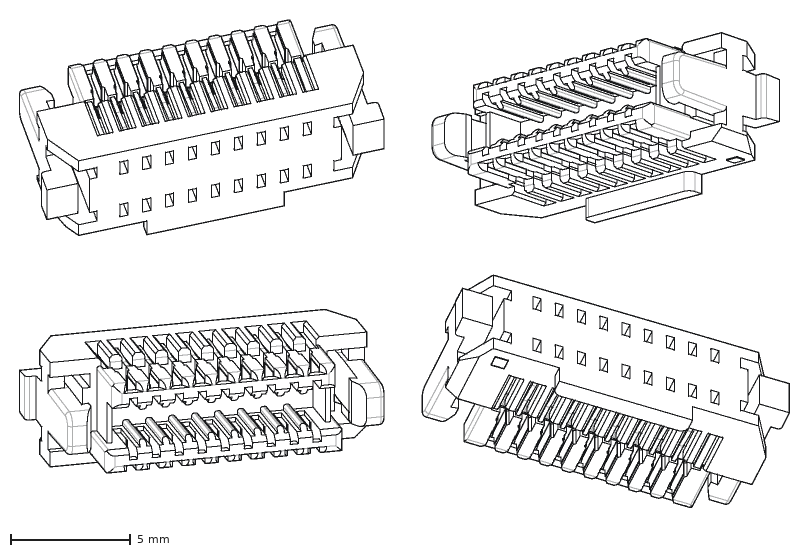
import cadquery as cq


BODY_DEPTH = 3.16
BODY_HALF_LENGTH = 6.9
BODY_HEIGHT = 4.66
MID_Z = BODY_HEIGHT / 2
REAR_CORNER_X = 1.55
REAR_CORNER_Y = 0.93
KEY_CHAMFER_Y = 0.55
KEY_CHAMFER_Z = 0.5

TIP_X = -5.78
WALL_OUTER = 1.97
WALL_INNER = 0.91
UPPER_HALF_LENGTH = 4.87
LOWER_HALF_LENGTH = 5.16
TIP_ROUND = 0.35
SIDE_ROUND = 0.13
LEAD_IN = 0.22
SIDE_WALL_TIP_X = -4.75
CAVITY_HALF_LENGTH = 4.65
CAVITY_FLOOR_X = -2.84

PITCH = 1.0
CONTACT_COUNT = 9
RIB_COUNT = CONTACT_COUNT - 1
FINGER_COUNT = CONTACT_COUNT + 1
SLOT_WIDTH = 0.35
BAR_REAR_X = TIP_X + TIP_ROUND
BAR_INNER = 1.37
BAR_OUTER = WALL_OUTER - TIP_ROUND
GROOVE_FLOOR = 1.77
GROOVE_WIDTH = 0.41
GROOVE_TIP_WIDTH = 0.82
NECK_START_X = -4.09
NECK_END_X = -4.0
NECK_GROOVE_WIDTH = 0.6

POCKET_FRONT_X = -3.52
POCKET_REAR_X = -1.16
POCKET_HALF_LENGTH = 4.69
POCKET_CHAMFER = 0.13
POCKET_FLOOR = 1.1
FLOOR_DROP_X = -2.62
FLOOR_LOW_X = -1.65
FLOOR_DROP = 0.16
RIDGE_WIDTH = 0.19
RIDGE_TOP = 1.84
RIDGE_RISE = 0.1
COVER_FRONT_X = -3.03
COVER_BASE = 1.7
COVER_WIDTH = 0.53
COVER_LEAN = 0.06
COVER_LEAN_Z = 0.3

RIB_WIDTH = 0.3
RIB_HEIGHT = 0.25
RIB_ROUND = 0.12

WINDOW_HALF_HEIGHT = 1.66
WINDOW_INNER_Y = LOWER_HALF_LENGTH
WINDOW_OUTER_Y = 6.2
LEDGE_HALF_HEIGHT = 1.05
LEDGE_Y = 5.49
WEB_FRONT_X = -2.84
WEB_REAR_X = -1.78
LATCH_TIP_X = -6.0
LATCH_ROOT_HALF_HEIGHT = 1.01
LATCH_TIP_HALF_HEIGHT = 0.93
LATCH_TIP_ROUND = 0.5
LATCH_EDGE_ROUND = 0.18
LATCH_INNER_Y = 6.0
HOOK_TIP_Y = 6.09
HOOK_PEAK_Y = 5.68
HOOK_RAMP_END_X = -5.13
HOOK_HEEL_X = -4.77
HOOK_UNDERCUT = 0.06
EAR_HALF_LENGTH = 7.35
EAR_DEPTH = 0.99
EAR_HALF_HEIGHT = 0.93
EAR_ROUND = 0.18

TAB_HALF_LENGTH = 3.0
TAB_DEPTH = 0.76
TAB_DROP = 0.85
TAB_ROUND = 0.32

PAD_FRONT_X = -0.87
PAD_REAR_X = -0.38
PAD_OUTER_Y = -5.74
PAD_INNER_Y = -5.15
PAD_HEIGHT = 0.05


def box(x0, x1, y0, y1, z0, z1):
    return cq.Workplane("XY").box(x1 - x0, y1 - y0, z1 - z0, centered=False).translate((x0, y0, z0))


def plan(points, z0, z1):
    """Extrude an XY outline between two heights."""
    return cq.Workplane("XY").workplane(offset=z0).polyline(points).close().extrude(z1 - z0)


def profile(points, y0, y1):
    """Extrude an XZ outline between two Y positions."""
    return cq.Workplane("XZ").workplane(offset=-y1).polyline(points).close().extrude(y1 - y0)


def section(points, x0, x1):
    """Extrude a YZ outline between two X positions."""
    return cq.Workplane("YZ").workplane(offset=x0).polyline(points).close().extrude(x1 - x0)


def row(shape, count):
    """Copies of a shape spaced one pitch apart along Y, centred on the part."""
    copies = cq.Workplane("XY")
    for i in range(count):
        copies.add(shape.translate((0, (i - (count - 1) / 2) * PITCH, 0)).vals())
    return copies.combine()


def both_rows(shape):
    """A shape of the upper contact row together with its mirror image in the lower row."""
    return shape.union(shape.mirror("XY", (0, 0, MID_Z)))


def both_ends(shape):
    return shape.union(shape.mirror("XZ"))


def body_block():
    block = plan(
        [
            (-BODY_DEPTH, -BODY_HALF_LENGTH),
            (-REAR_CORNER_X, -BODY_HALF_LENGTH),
            (0, REAR_CORNER_Y - BODY_HALF_LENGTH),
            (0, BODY_HALF_LENGTH - REAR_CORNER_Y),
            (-REAR_CORNER_X, BODY_HALF_LENGTH),
            (-BODY_DEPTH, BODY_HALF_LENGTH),
        ],
        0,
        BODY_HEIGHT,
    )
    key_corner = section(
        [
            (-BODY_HALF_LENGTH, 0),
            (KEY_CHAMFER_Y - BODY_HALF_LENGTH, 0),
            (-BODY_HALF_LENGTH, KEY_CHAMFER_Z),
        ],
        -BODY_DEPTH,
        0,
    )
    return block.cut(key_corner)


def side_windows():
    """H-shaped openings along X, opened outward in front of and behind the side web."""
    low, high = MID_Z - WINDOW_HALF_HEIGHT, MID_Z + WINDOW_HALF_HEIGHT
    ledge_low, ledge_high = MID_Z - LEDGE_HALF_HEIGHT, MID_Z + LEDGE_HALF_HEIGHT
    ledge = box(-BODY_DEPTH, 0, WINDOW_INNER_Y, LEDGE_Y, ledge_low, ledge_high)
    window = (
        box(-BODY_DEPTH, 0, WINDOW_INNER_Y, WINDOW_OUTER_Y, low, high)
        .cut(ledge)
        .union(box(-BODY_DEPTH, WEB_FRONT_X, WINDOW_OUTER_Y, BODY_HALF_LENGTH, low, high))
        .union(box(WEB_REAR_X, 0, WINDOW_OUTER_Y, BODY_HALF_LENGTH, low, high))
    )
    return both_ends(window)


def shroud_wall(half_length, rounded_edges):
    """Shroud wall in the upper position: rounded tip, rounded side edges and an inner lead-in chamfer."""
    inner, outer = MID_Z + WALL_INNER, MID_Z + WALL_OUTER
    side_shape = (
        profile(
            [
                (TIP_X, outer),
                (TIP_X, inner + LEAD_IN),
                (TIP_X + LEAD_IN, inner),
                (-BODY_DEPTH, inner),
                (-BODY_DEPTH, outer),
            ],
            -half_length,
            half_length,
        )
        .edges("|Y and <X and >Z")
        .fillet(TIP_ROUND)
    )
    block = box(TIP_X, -BODY_DEPTH, -half_length, half_length, inner, outer)
    plan_shape = block.edges("|Z and <X").fillet(TIP_ROUND)
    end_shape = block.edges(rounded_edges).fillet(SIDE_ROUND)
    return side_shape.intersect(plan_shape).intersect(end_shape)


def side_walls():
    wall = box(
        SIDE_WALL_TIP_X,
        -BODY_DEPTH,
        CAVITY_HALF_LENGTH,
        UPPER_HALF_LENGTH,
        MID_Z - WALL_INNER,
        MID_Z + WALL_INNER,
    )
    return both_ends(wall)


def cavity():
    """The shroud cavity continues a little way into the body."""
    return box(
        -BODY_DEPTH,
        CAVITY_FLOOR_X,
        -CAVITY_HALF_LENGTH,
        CAVITY_HALF_LENGTH,
        MID_Z - WALL_INNER,
        MID_Z + WALL_INNER,
    )


def guide_ribs():
    """Round-crested ribs inside the upper wall; their tips continue the lead-in slope."""
    inner = MID_Z + WALL_INNER
    crest = inner - RIB_HEIGHT
    rib = profile(
        [
            (TIP_X + LEAD_IN, inner),
            (TIP_X + LEAD_IN + RIB_HEIGHT, crest),
            (CAVITY_FLOOR_X, crest),
            (CAVITY_FLOOR_X, inner),
        ],
        -RIB_WIDTH / 2,
        RIB_WIDTH / 2,
    )
    rounded = (
        box(TIP_X, CAVITY_FLOOR_X, -RIB_WIDTH / 2, RIB_WIDTH / 2, crest, inner)
        .edges("|X and <Z")
        .fillet(RIB_ROUND)
    )
    return row(rib.intersect(rounded), RIB_COUNT)


def pocket():
    """Recess in the top of the body, reaching into the upper wall, with a floor that slopes down rearward."""
    floor = MID_Z + POCKET_FLOOR
    recess = profile(
        [
            (POCKET_FRONT_X, BODY_HEIGHT),
            (POCKET_FRONT_X, floor),
            (FLOOR_DROP_X, floor),
            (FLOOR_LOW_X, floor - FLOOR_DROP),
            (POCKET_REAR_X, floor - FLOOR_DROP),
            (POCKET_REAR_X, BODY_HEIGHT),
        ],
        -POCKET_HALF_LENGTH,
        POCKET_HALF_LENGTH,
    )
    rim = section(
        [
            (-POCKET_HALF_LENGTH - POCKET_CHAMFER, BODY_HEIGHT),
            (-POCKET_HALF_LENGTH, BODY_HEIGHT - POCKET_CHAMFER),
            (POCKET_HALF_LENGTH, BODY_HEIGHT - POCKET_CHAMFER),
            (POCKET_HALF_LENGTH + POCKET_CHAMFER, BODY_HEIGHT),
        ],
        -BODY_DEPTH,
        POCKET_REAR_X,
    )
    return recess.union(rim)


def ridges():
    """Narrow ridges behind the fingers, and level end ridges that widen to meet the pocket walls."""
    base = MID_Z + POCKET_FLOOR - FLOOR_DROP
    top = MID_Z + RIDGE_TOP
    ridge = profile(
        [
            (POCKET_FRONT_X, base),
            (POCKET_FRONT_X, top),
            (FLOOR_DROP_X, top),
            (FLOOR_LOW_X, top + RIDGE_RISE),
            (POCKET_REAR_X, top + RIDGE_RISE),
            (POCKET_REAR_X, base),
        ],
        -RIDGE_WIDTH / 2,
        RIDGE_WIDTH / 2,
    )
    end_ridge_y = (FINGER_COUNT - 1) / 2 * PITCH - RIDGE_WIDTH / 2
    end_ridge = box(POCKET_FRONT_X, POCKET_REAR_X, end_ridge_y, POCKET_HALF_LENGTH, base, top)
    return row(ridge, RIB_COUNT).union(both_ends(end_ridge))


def covers():
    """Bars reaching forward over the pocket floor, flush with the body top, with a leaning front."""
    base = MID_Z + COVER_BASE
    cover = profile(
        [
            (COVER_FRONT_X, base),
            (COVER_FRONT_X, BODY_HEIGHT - COVER_LEAN_Z),
            (COVER_FRONT_X + COVER_LEAN, BODY_HEIGHT),
            (POCKET_REAR_X, BODY_HEIGHT),
            (POCKET_REAR_X, base),
        ],
        -COVER_WIDTH / 2,
        COVER_WIDTH / 2,
    )
    chamfered = (
        box(COVER_FRONT_X, POCKET_REAR_X, -COVER_WIDTH / 2, COVER_WIDTH / 2, base, BODY_HEIGHT)
        .edges("|X and >Z")
        .chamfer(POCKET_CHAMFER)
    )
    return row(cover.intersect(chamfered), CONTACT_COUNT)


def contact_slots():
    """Slots of the upper row: wall slot, tip groove below the bar, rear hole and flared outer groove."""
    half = SLOT_WIDTH / 2
    inner, outer = MID_Z + WALL_INNER, MID_Z + WALL_OUTER
    floor = MID_Z + POCKET_FLOOR
    groove_floor = MID_Z + GROOVE_FLOOR
    wall_slot = box(BAR_REAR_X, -BODY_DEPTH, -half, half, inner, outer)
    tip_groove = box(TIP_X, BAR_REAR_X, -half, half, inner, MID_Z + BAR_INNER)
    rear_hole = box(POCKET_REAR_X, 0, -half, half, floor - FLOOR_DROP, MID_Z + COVER_BASE)
    flare = plan(
        [
            (TIP_X, -GROOVE_TIP_WIDTH / 2),
            (BAR_REAR_X, -GROOVE_WIDTH / 2),
            (BAR_REAR_X, GROOVE_WIDTH / 2),
            (TIP_X, GROOVE_TIP_WIDTH / 2),
        ],
        MID_Z + BAR_OUTER,
        outer,
    )
    groove = box(BAR_REAR_X, POCKET_FRONT_X, -GROOVE_WIDTH / 2, GROOVE_WIDTH / 2, groove_floor, outer)
    neck = plan(
        [
            (NECK_START_X, -GROOVE_WIDTH / 2),
            (NECK_END_X, -NECK_GROOVE_WIDTH / 2),
            (POCKET_FRONT_X, -NECK_GROOVE_WIDTH / 2),
            (POCKET_FRONT_X, NECK_GROOVE_WIDTH / 2),
            (NECK_END_X, NECK_GROOVE_WIDTH / 2),
            (NECK_START_X, GROOVE_WIDTH / 2),
        ],
        floor,
        outer,
    )
    slot = wall_slot.union(tip_groove).union(rear_hole).union(flare).union(groove).union(neck)
    return row(slot, CONTACT_COUNT)


def latch():
    """Tapered latch arm on the +Y end with a hook on its inner side."""
    side_shape = (
        profile(
            [
                (WEB_FRONT_X, MID_Z - LATCH_ROOT_HALF_HEIGHT),
                (LATCH_TIP_X, MID_Z - LATCH_TIP_HALF_HEIGHT),
                (LATCH_TIP_X, MID_Z + LATCH_TIP_HALF_HEIGHT),
                (WEB_FRONT_X, MID_Z + LATCH_ROOT_HALF_HEIGHT),
            ],
            HOOK_PEAK_Y,
            BODY_HALF_LENGTH,
        )
        .edges("|Y and <X")
        .fillet(LATCH_TIP_ROUND)
        .faces(">Y")
        .edges("not >X")
        .fillet(LATCH_EDGE_ROUND)
    )
    plan_shape = plan(
        [
            (WEB_FRONT_X, BODY_HALF_LENGTH),
            (LATCH_TIP_X, BODY_HALF_LENGTH),
            (LATCH_TIP_X, HOOK_TIP_Y),
            (HOOK_RAMP_END_X, HOOK_PEAK_Y),
            (HOOK_HEEL_X, HOOK_PEAK_Y),
            (HOOK_HEEL_X - HOOK_UNDERCUT, LATCH_INNER_Y),
            (WEB_FRONT_X, LATCH_INNER_Y),
        ],
        0,
        BODY_HEIGHT,
    )
    web_link = box(
        WEB_FRONT_X,
        WEB_REAR_X,
        LATCH_INNER_Y,
        WINDOW_OUTER_Y,
        MID_Z - LATCH_ROOT_HALF_HEIGHT,
        MID_Z + LATCH_ROOT_HALF_HEIGHT,
    )
    return side_shape.intersect(plan_shape).union(web_link)


def ear():
    """Arm behind the side web on the +Y end that ends in an outward ear."""
    arm = plan(
        [
            (WEB_REAR_X, LATCH_INNER_Y),
            (0, LATCH_INNER_Y),
            (0, EAR_HALF_LENGTH),
            (-EAR_DEPTH, EAR_HALF_LENGTH),
            (-EAR_DEPTH, BODY_HALF_LENGTH),
            (WEB_REAR_X, BODY_HALF_LENGTH),
        ],
        0,
        BODY_HEIGHT,
    )
    ear_corner = cq.selectors.NearestToPointSelector((-EAR_DEPTH, EAR_HALF_LENGTH, MID_Z))
    rounded_arm = arm.edges(ear_corner).fillet(EAR_ROUND)
    taper = profile(
        [
            (WEB_REAR_X, MID_Z - LATCH_ROOT_HALF_HEIGHT),
            (0, MID_Z - EAR_HALF_HEIGHT),
            (0, MID_Z + EAR_HALF_HEIGHT),
            (WEB_REAR_X, MID_Z + LATCH_ROOT_HALF_HEIGHT),
        ],
        LATCH_INNER_Y,
        EAR_HALF_LENGTH,
    )
    return rounded_arm.intersect(taper)


def rear_tab():
    tab = box(-TAB_DEPTH, 0, -TAB_HALF_LENGTH, TAB_HALF_LENGTH, -TAB_DROP, 0)
    return tab.edges("|Z and <X").fillet(TAB_ROUND)


def contact_mark():
    return box(PAD_FRONT_X, PAD_REAR_X, PAD_OUTER_Y, PAD_INNER_Y, -PAD_HEIGHT, 0)


lower_wall = shroud_wall(LOWER_HALF_LENGTH, "|X").mirror("XY", (0, 0, MID_Z))

result = (
    body_block()
    .cut(side_windows())
    .cut(cavity())
    .union(shroud_wall(UPPER_HALF_LENGTH, "|X and >Z"))
    .union(lower_wall)
    .union(side_walls())
    .union(both_rows(guide_ribs()))
    .cut(both_rows(pocket()))
    .union(both_rows(ridges()))
    .union(both_rows(covers()))
    .cut(both_rows(contact_slots()))
    .union(both_ends(latch()))
    .union(both_ends(ear()))
    .union(rear_tab())
    .union(contact_mark())
)